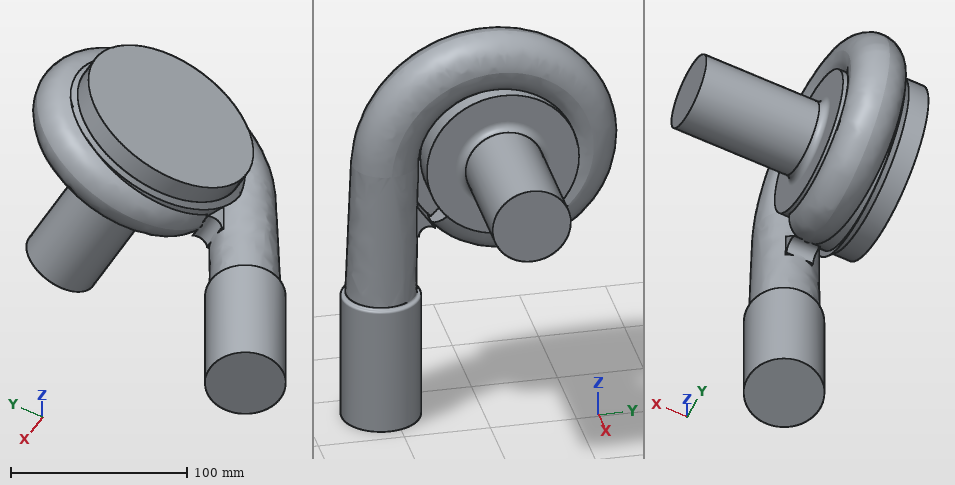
import cadquery as cq
import math

COVER_RADIUS = 54.0
COVER_THICKNESS = 12.5

VOLUTE_X = 32.0
SPIRAL_START_RADIUS = 84.1
SPIRAL_DROP = 26.8
SPIRAL_EXTRA_DROP = 6.2
DUCT_START_RADIUS = 19.1
DUCT_DROP_PER_TURN = 5.3
SPIRAL_END = 315
SPIRAL_STEP = 22.5

CORE_BACK_X = 49.2
CORE_BACK_RADIUS = 44.2

FLARE_RADIUS = 58.0
FLARE_Y = -1.5
FLARE_Z = 2.6
FLARE_LENGTH = 3.5

COLLAR_RADIUS = 23.0
COLLAR_Y = -67.2
COLLAR_BOTTOM_Z = -161.8
COLLAR_TOP_Z = -84.4
DUCT_END_RADIUS = 20.3
COLLAR_ROUND = (COLLAR_RADIUS - DUCT_END_RADIUS) / 2
TONGUE_RADIUS = 5.7
TONGUE_CORE_RADIUS = 56.0
TONGUE_WIDTH = 16.7

INLET_RADIUS = 22.7
INLET_END_X = 125.0
INLET_FLARE = 4.5


def disc_along_x(radius, x_start, x_end):
    """Cylinder on the X axis between two X positions."""
    return cq.Workplane("YZ", origin=(x_start, 0, 0)).circle(radius).extrude(x_end - x_start)


def duct_section(angle):
    """Round section of the volute; angle runs from -Y over +Z to +Y."""
    turns = angle / 360
    section_radius = DUCT_START_RADIUS - DUCT_DROP_PER_TURN * turns
    outer_radius = SPIRAL_START_RADIUS - SPIRAL_DROP * turns - SPIRAL_EXTRA_DROP * turns**2
    centre_radius = outer_radius - section_radius
    turn = math.radians(angle)
    centre = cq.Vector(VOLUTE_X, -centre_radius * math.cos(turn), centre_radius * math.sin(turn))
    along = cq.Vector(0, math.sin(turn), math.cos(turn))
    return cq.Wire.makeCircle(section_radius, centre, along)


def make_spiral():
    count = round(SPIRAL_END / SPIRAL_STEP)
    sections = [duct_section(i * SPIRAL_STEP) for i in range(count + 1)]
    return cq.Workplane(cq.Solid.makeLoft(sections))


def make_core():
    front = disc_along_x(COVER_RADIUS, COVER_THICKNESS, VOLUTE_X)
    back = disc_along_x(CORE_BACK_RADIUS, VOLUTE_X, CORE_BACK_X)
    return front.union(back)


def make_cover_flare():
    axis = cq.Vector(1, 0, 0)
    small = cq.Wire.makeCircle(COVER_RADIUS, cq.Vector(COVER_THICKNESS, 0, 0), axis)
    large_centre = cq.Vector(COVER_THICKNESS + FLARE_LENGTH, FLARE_Y, FLARE_Z)
    large = cq.Wire.makeCircle(FLARE_RADIUS, large_centre, axis)
    return cq.Workplane(cq.Solid.makeLoft([small, large], True))


def make_outlet_duct():
    """Tapered duct from the spiral start down to the collar."""
    end_centre = cq.Vector(VOLUTE_X, COLLAR_Y, COLLAR_TOP_Z)
    end = cq.Wire.makeCircle(DUCT_END_RADIUS, end_centre, cq.Vector(0, 0, 1))
    return cq.Workplane(cq.Solid.makeLoft([duct_section(0), end], True))


def make_collar():
    """Collar whose top edge rounds over and then blends up into the duct."""
    diagonal = COLLAR_ROUND * math.sqrt(0.5)
    step_radius = COLLAR_RADIUS - COLLAR_ROUND
    root_z = COLLAR_TOP_Z + COLLAR_ROUND
    shoulder_z = COLLAR_TOP_Z - COLLAR_ROUND
    return (
        cq.Workplane("XZ", origin=(VOLUTE_X, COLLAR_Y, 0))
        .moveTo(0, COLLAR_BOTTOM_Z)
        .lineTo(COLLAR_RADIUS, COLLAR_BOTTOM_Z)
        .lineTo(COLLAR_RADIUS, shoulder_z)
        .threePointArc((step_radius + diagonal, shoulder_z + diagonal), (step_radius, COLLAR_TOP_Z))
        .threePointArc((step_radius - diagonal, root_z - diagonal), (DUCT_END_RADIUS, root_z))
        .lineTo(0, root_z)
        .close()
        .revolve(360, (0, 0, 0), (0, 1, 0))
    )


def make_tongue():
    """Web with a concave arc in the notch between the core and the outlet duct."""
    duct_side_y = COLLAR_Y + DUCT_END_RADIUS
    arc_y = duct_side_y + TONGUE_RADIUS
    arc_z = -math.sqrt((TONGUE_CORE_RADIUS + TONGUE_RADIUS) ** 2 - arc_y ** 2)
    reach = TONGUE_CORE_RADIUS / (TONGUE_CORE_RADIUS + TONGUE_RADIUS)
    web = (
        cq.Workplane("YZ", origin=(VOLUTE_X - TONGUE_WIDTH / 2, 0, 0))
        .moveTo(arc_y * reach, arc_z * reach)
        .lineTo(COLLAR_Y, 0)
        .lineTo(COLLAR_Y, arc_z)
        .lineTo(duct_side_y, arc_z)
        .close()
        .extrude(TONGUE_WIDTH)
    )
    notch = (
        cq.Workplane("YZ", origin=(VOLUTE_X - TONGUE_WIDTH / 2, arc_y, arc_z))
        .circle(TONGUE_RADIUS)
        .extrude(TONGUE_WIDTH)
    )
    return web.cut(notch)


def make_inlet_flare():
    """Concave ring that blends the back of the core into the inlet pipe."""
    tip_x = CORE_BACK_X + INLET_FLARE
    bend = INLET_FLARE * (1 - math.sqrt(0.5))
    return (
        cq.Workplane("XY")
        .moveTo(CORE_BACK_X, 0)
        .lineTo(CORE_BACK_X, INLET_RADIUS + INLET_FLARE)
        .threePointArc((CORE_BACK_X + bend, INLET_RADIUS + bend), (tip_x, INLET_RADIUS))
        .lineTo(tip_x, 0)
        .close()
        .revolve(360, (0, 0, 0), (1, 0, 0))
    )


def make_housing():
    housing = make_core().union(make_spiral())
    housing = housing.union(make_cover_flare())
    housing = housing.union(make_outlet_duct())
    housing = housing.union(make_tongue())
    housing = housing.union(make_collar())
    return housing.union(make_inlet_flare())


def make_cover():
    return disc_along_x(COVER_RADIUS, 0, COVER_THICKNESS)


def make_inlet_pipe():
    return disc_along_x(INLET_RADIUS, CORE_BACK_X + INLET_FLARE, INLET_END_X)


housing = make_housing()
cover = make_cover()
inlet_pipe = make_inlet_pipe()

result = cq.Compound.makeCompound([*housing.solids().vals(), cover.val(), inlet_pipe.val()])